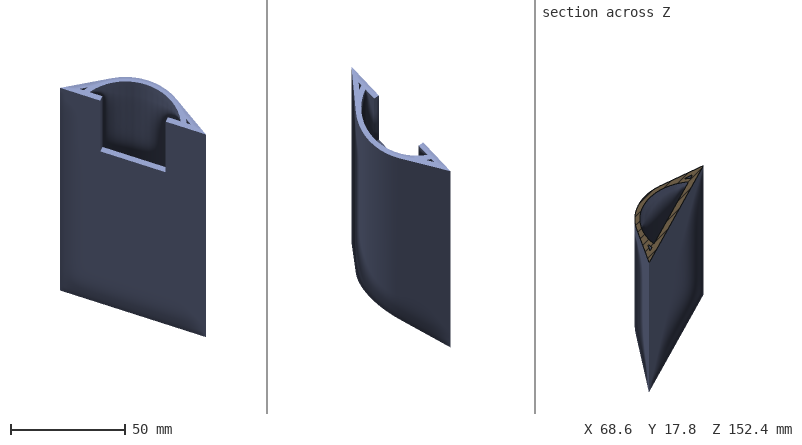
import cadquery as cq
import math

length = 152.4
width = 68.6
height = 17.8
wall = 2.5
floor_thickness = 2.6
crown_radius = 26.8
notch_width = 30.8
notch_depth = 38.1
end_angle = 45.0

half_width = width / 2
axis_y = height - crown_radius
cavity_radius = crown_radius - wall

edge_distance = math.hypot(half_width, axis_y)
flank_angle = math.acos(crown_radius / edge_distance) + math.atan2(-axis_y, half_width)
flank_x = math.cos(flank_angle)
flank_y = math.sin(flank_angle)


def circle_half_width(radius, y):
    """Half the chord that a circle about the shared axis has at height y."""
    return math.sqrt(radius**2 - (y - axis_y) ** 2)


def crown_point(angle):
    """Point on the crown circle at an angle from +X, in radians."""
    return crown_radius * math.cos(angle), axis_y + crown_radius * math.sin(angle)


def make_body():
    tangent_x, tangent_y = crown_point(flank_angle)
    return (
        cq.Workplane("XY")
        .moveTo(-half_width, 0)
        .lineTo(half_width, 0)
        .lineTo(tangent_x, tangent_y)
        .threePointArc((0, height), (-tangent_x, tangent_y))
        .close()
        .extrude(length)
    )


def make_cavity():
    cavity_half_width = circle_half_width(cavity_radius, floor_thickness)
    return (
        cq.Workplane("XY")
        .moveTo(-cavity_half_width, floor_thickness)
        .lineTo(cavity_half_width, floor_thickness)
        .threePointArc((0, height - wall), (-cavity_half_width, floor_thickness))
        .close()
        .extrude(length)
    )


def make_corner_channel():
    """Triangular channel at +X, bounded by the floor, the flank wall and the crown circle."""
    inner_x = circle_half_width(crown_radius, floor_thickness)
    outer_x = (cavity_radius - (floor_thickness - axis_y) * flank_y) / flank_x
    tip_angle = flank_angle - math.acos(cavity_radius / crown_radius)
    floor_angle = math.atan2(floor_thickness - axis_y, inner_x)
    middle_angle = (tip_angle + floor_angle) / 2
    return (
        cq.Workplane("XY")
        .moveTo(inner_x, floor_thickness)
        .lineTo(outer_x, floor_thickness)
        .lineTo(*crown_point(tip_angle))
        .threePointArc(crown_point(middle_angle), (inner_x, floor_thickness))
        .close()
        .extrude(length)
    )


def make_notch():
    return cq.Workplane("XY").box(
        notch_width, floor_thickness, notch_depth, centered=(True, False, False)
    ).translate((0, 0, length - notch_depth))


def make_end_cut():
    end_rise = height * math.tan(math.radians(end_angle))
    return (
        cq.Workplane("YZ")
        .polyline([(0, 0), (height, 0), (height, end_rise)])
        .close()
        .extrude(half_width, both=True)
    )


corner_channel = make_corner_channel()
result = (
    make_body()
    .cut(make_cavity())
    .cut(corner_channel)
    .cut(corner_channel.mirror("YZ"))
    .cut(make_notch())
    .cut(make_end_cut())
)